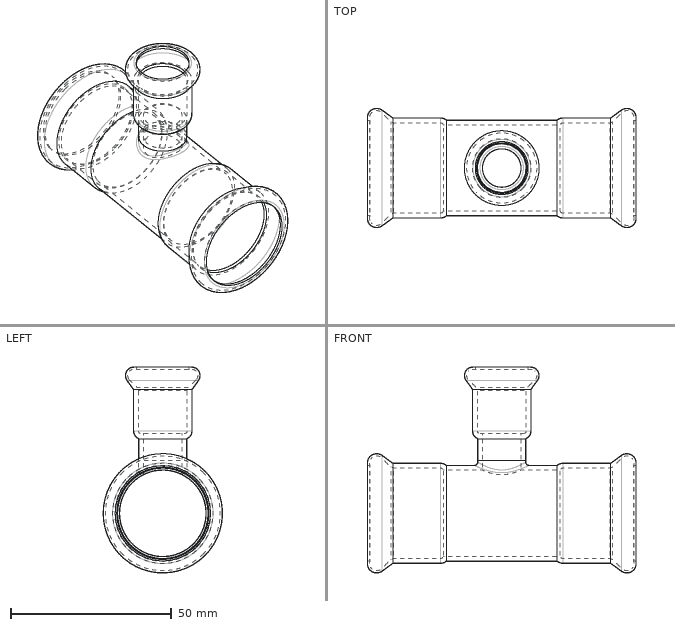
import cadquery as cq
import math

run_length = 84.0
run_tube_diameter = 30.0
run_tube_bore = 27.0
run_socket_diameter = 31.3
run_socket_bore = 28.2
run_mouth_diameter = 29.7
run_entry_diameter = 28.8
run_bead_diameter = 37.3
run_bead_radius = 2.9
run_flare_end = 8.0
run_shoulder_start = 22.9

branch_top = 45.7
neck_diameter = 15.0
neck_bore = 12.0
branch_socket_diameter = 18.3
branch_socket_bore = 15.2
branch_mouth_diameter = 16.55
branch_entry_diameter = 15.8
branch_bead_diameter = 23.35
branch_bead_radius = 2.7
branch_flare_end = 7.05
branch_shoulder_start = 20.0

shoulder_radius = 2.6
bead_wall = 0.71
socket_corner_radius = 0.8
entry_before_flare = 0.6
entry_after_flare = 0.25
weld_fillet = 1.0
joint_height = 16.55
edge_margin = 0.1


def point_on_arc(center, radius, angle):
    """Point on a circle, with the angle measured from the depth axis."""
    return (center[0] + radius * math.cos(angle), center[1] + radius * math.sin(angle))


def flare_angle(center, radius, flare_point):
    """Angle at which a straight flare through flare_point touches a bead circle."""
    run = flare_point[0] - center[0]
    rise = flare_point[1] - center[1]
    return math.atan2(rise, run) + math.acos(radius / math.hypot(run, rise))


def socket_outside(depth, tube, socket, bead, bead_radius, flare_end, shoulder_start):
    """Solid outer shape of a socket, its mouth at the origin and its depth along +X."""
    socket_r = socket / 2
    bead_center = (bead_radius, bead / 2 - bead_radius)
    tangent_angle = flare_angle(bead_center, bead_radius, (flare_end, socket_r))
    bead_middle = (tangent_angle + math.pi) / 2

    shoulder_center = (shoulder_start, socket_r - shoulder_radius)
    shoulder_angle = math.asin((tube / 2 - shoulder_center[1]) / shoulder_radius)
    shoulder_middle = (shoulder_angle + math.pi / 2) / 2

    return (
        cq.Workplane("XY")
        .lineTo(0, bead_center[1])
        .threePointArc(
            point_on_arc(bead_center, bead_radius, bead_middle),
            point_on_arc(bead_center, bead_radius, tangent_angle),
        )
        .lineTo(flare_end, socket_r)
        .lineTo(shoulder_start, socket_r)
        .threePointArc(
            point_on_arc(shoulder_center, shoulder_radius, shoulder_middle),
            point_on_arc(shoulder_center, shoulder_radius, shoulder_angle),
        )
        .lineTo(depth, tube / 2)
        .lineTo(depth, 0)
        .close()
        .revolve(360, (0, 0, 0), (1, 0, 0))
    )


def socket_inside(depth, tube_bore, bore, mouth, entry, bead, bead_radius, flare_end, shoulder_start):
    """Solid shape of the space inside a socket, placed like socket_outside."""
    hollow_radius = bead_radius - bead_wall
    hollow_center = (bead_radius, bead / 2 - bead_radius)
    entry_start = flare_end - entry_before_flare
    entry_end = flare_end + entry_after_flare
    mouth_angle = math.pi + math.asin((hollow_center[1] - mouth / 2) / hollow_radius)
    tangent_angle = flare_angle(hollow_center, hollow_radius, (entry_start, entry / 2))
    hollow_middle = (tangent_angle + mouth_angle) / 2

    mouth_space = (
        cq.Workplane("XY")
        .lineTo(0, mouth / 2)
        .lineTo(*point_on_arc(hollow_center, hollow_radius, mouth_angle))
        .threePointArc(
            point_on_arc(hollow_center, hollow_radius, hollow_middle),
            point_on_arc(hollow_center, hollow_radius, tangent_angle),
        )
        .lineTo(entry_start, entry / 2)
        .lineTo(entry_end, bore / 2)
        .lineTo(entry_end, 0)
        .close()
        .revolve(360, (0, 0, 0), (1, 0, 0))
    )
    socket_space = (
        cq.Workplane("YZ")
        .circle(bore / 2)
        .extrude(shoulder_start + socket_corner_radius)
        .faces(">X")
        .edges()
        .fillet(socket_corner_radius)
    )
    tube_space = cq.Workplane("YZ").circle(tube_bore / 2).extrude(depth)
    return mouth_space.union(socket_space).union(tube_space)


def both_ends(half):
    """A half of the run starting at X = 0, moved to the left end and mirrored to the right."""
    left = half.translate((-run_length / 2, 0, 0))
    return left.union(left.mirror("YZ"))


def make_tee():
    """Run with a socket at each end and a short welded stub for the branch."""
    half_length = run_length / 2
    outside = both_ends(
        socket_outside(
            half_length, run_tube_diameter, run_socket_diameter, run_bead_diameter,
            run_bead_radius, run_flare_end, run_shoulder_start,
        )
    )
    inside = both_ends(
        socket_inside(
            half_length, run_tube_bore, run_socket_bore, run_mouth_diameter, run_entry_diameter,
            run_bead_diameter, run_bead_radius, run_flare_end, run_shoulder_start,
        )
    )
    tube_length = run_length - 2 * run_shoulder_start - 2 * shoulder_radius
    middle = cq.Workplane("YZ").circle(run_tube_diameter / 2).extrude(tube_length / 2, both=True)
    stub = cq.Workplane("XY").circle(neck_diameter / 2).extrude(joint_height)
    weld_region = cq.selectors.BoxSelector(
        (-neck_diameter, -neck_diameter, 0), (neck_diameter, neck_diameter, joint_height - edge_margin)
    )
    welded_middle = middle.union(stub).edges(weld_region).fillet(weld_fillet)
    stub_bore = cq.Workplane("XY").circle(neck_bore / 2).extrude(joint_height)
    return outside.union(welded_middle).cut(inside).cut(stub_bore)


def make_branch():
    """Branch socket and neck, standing on the stub of the tee."""
    depth = branch_top - joint_height
    outside = socket_outside(
        depth, neck_diameter, branch_socket_diameter, branch_bead_diameter,
        branch_bead_radius, branch_flare_end, branch_shoulder_start,
    )
    inside = socket_inside(
        depth, neck_bore, branch_socket_bore, branch_mouth_diameter, branch_entry_diameter,
        branch_bead_diameter, branch_bead_radius, branch_flare_end, branch_shoulder_start,
    )
    return outside.cut(inside).rotate((0, 0, 0), (0, 1, 0), 90).translate((0, 0, branch_top))


tee = make_tee()
branch = make_branch()
result = cq.Compound.makeCompound([tee.val(), branch.val()])